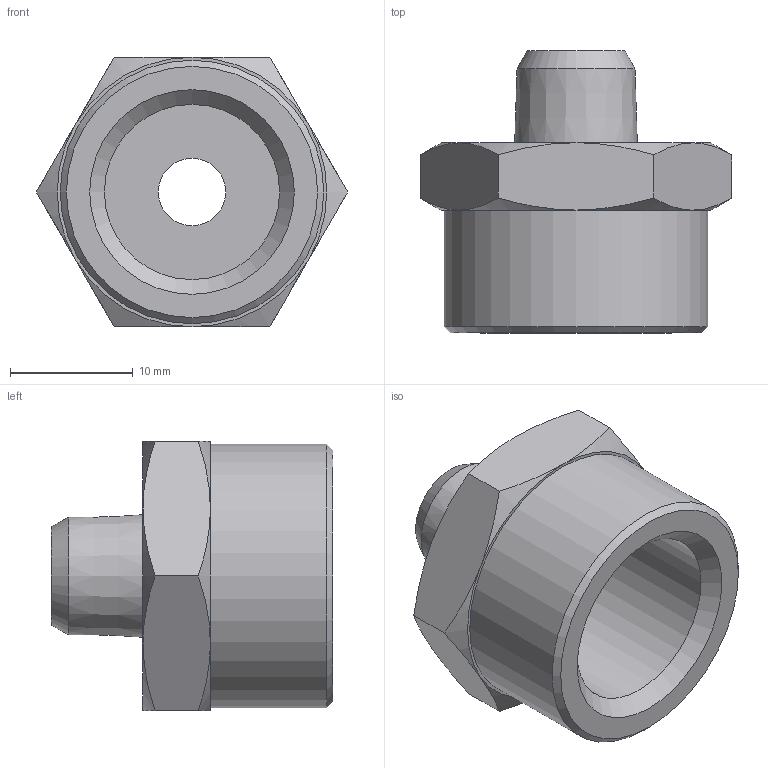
import cadquery as cq
import math

socket_length = 10.0
hex_length = 5.5
spigot_length = 7.5

hex_sides = 6
across_flats = 22.0
hex_chamfer_angle = 30.0
envelope_margin = 0.5

socket_diameter = 21.5
socket_chamfer = 0.5
socket_rim_diameter = 20.5
bore_diameter = 14.3
bore_depth = 12.0
mouth_diameter = 16.7
mouth_angle = 45.0

spigot_root_diameter = 10.0
spigot_taper = 1 / 32
spigot_tip_diameter = 8.0
spigot_chamfer_length = 1.45
passage_diameter = 5.5

mouth_y = 0.0
hex_front_y = mouth_y + socket_length
hex_back_y = hex_front_y + hex_length
tip_y = hex_back_y + spigot_length
spigot_chamfer_y = tip_y - spigot_chamfer_length


def revolve_profile(points):
    """Turn a closed (radius, y) profile around the Y axis."""
    return cq.Workplane("XY").polyline(points).close().revolve(360, (0, 0, 0), (0, 1, 0))


def make_hexagon():
    """Hexagonal collar with its corners turned conical at both ends."""
    across_corners = across_flats / math.cos(math.pi / hex_sides)
    prism = (
        cq.Workplane("XZ", origin=(0, hex_back_y, 0))
        .polygon(hex_sides, across_corners)
        .extrude(hex_length)
    )
    face_radius = across_flats / 2
    envelope_radius = across_corners / 2 + envelope_margin
    drop = (envelope_radius - face_radius) * math.tan(math.radians(hex_chamfer_angle))
    envelope = revolve_profile([
        (0, hex_front_y),
        (face_radius, hex_front_y),
        (envelope_radius, hex_front_y + drop),
        (envelope_radius, hex_back_y - drop),
        (face_radius, hex_back_y),
        (0, hex_back_y),
    ])
    return prism.intersect(envelope)


def make_socket():
    """Cylinder in front of the hexagon with a chamfered rim."""
    return revolve_profile([
        (0, mouth_y),
        (socket_rim_diameter / 2, mouth_y),
        (socket_diameter / 2, mouth_y + socket_chamfer),
        (socket_diameter / 2, hex_front_y),
        (0, hex_front_y),
    ])


def make_spigot():
    """Tapered stub behind the hexagon with a conical tip."""
    root_radius = spigot_root_diameter / 2
    taper_end_radius = root_radius - spigot_taper * (spigot_chamfer_y - hex_back_y)
    return revolve_profile([
        (0, hex_back_y),
        (root_radius, hex_back_y),
        (taper_end_radius, spigot_chamfer_y),
        (spigot_tip_diameter / 2, tip_y),
        (0, tip_y),
    ])


def make_cavity():
    """Countersunk blind bore that continues as a narrow through passage."""
    mouth_depth = (mouth_diameter - bore_diameter) / 2 / math.tan(math.radians(mouth_angle))
    return revolve_profile([
        (0, mouth_y),
        (mouth_diameter / 2, mouth_y),
        (bore_diameter / 2, mouth_y + mouth_depth),
        (bore_diameter / 2, mouth_y + bore_depth),
        (passage_diameter / 2, mouth_y + bore_depth),
        (passage_diameter / 2, tip_y),
        (0, tip_y),
    ])


result = make_socket().union(make_hexagon()).union(make_spigot()).cut(make_cavity())